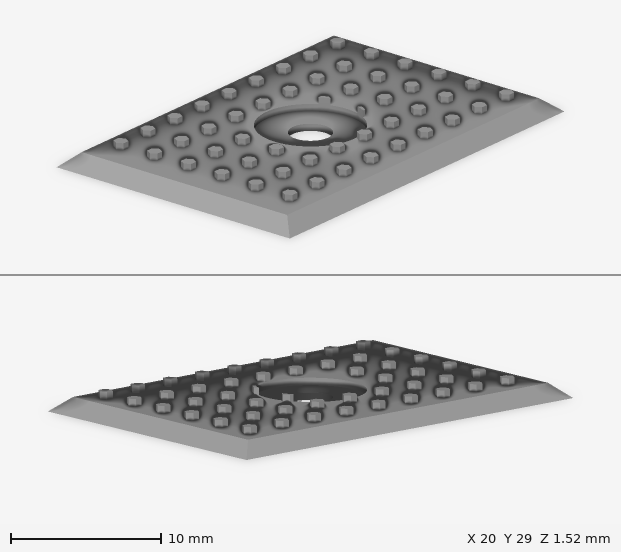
import cadquery as cq

width = 20.0
length = 29.0
plate_height = 1.02
bevel = 1.2

stud_height = 0.5
stud_corner_diameter = 1.02
stud_columns = 6
stud_rows = 9
column_span = 14.5
column_pitch = column_span / (stud_columns - 1)
row_span = 22.88
row_pitch = row_span / (stud_rows - 1)
grid_center_x = -0.05
grid_center_y = 0.4

hole_diameter = 3.02
counterbore_diameter = 7.55
counterbore_depth = plate_height / 2

total_height = plate_height + stud_height


def make_plate():
    """Rectangular plate whose four sides slope inward to the top face."""
    return (
        cq.Workplane("XY")
        .rect(width, length)
        .workplane(offset=plate_height)
        .rect(width - 2 * bevel, length - 2 * bevel)
        .loft(ruled=True)
    )


def make_studs():
    """Full grid of hexagonal studs, each running from the plate bottom to the stud top."""
    return (
        cq.Workplane("XY", origin=(grid_center_x, grid_center_y, 0))
        .transformed(rotate=(0, 0, 90))
        .rarray(row_pitch, column_pitch, stud_rows, stud_columns)
        .polygon(6, stud_corner_diameter)
        .extrude(total_height)
    )


def make_screw_opening():
    """Through hole plus counterbore, which also clears the studs above it."""
    hole = cq.Workplane("XY").circle(hole_diameter / 2).extrude(total_height)
    counterbore = (
        cq.Workplane("XY")
        .workplane(offset=plate_height - counterbore_depth)
        .circle(counterbore_diameter / 2)
        .extrude(counterbore_depth + stud_height)
    )
    return hole.union(counterbore)


result = make_plate().union(make_studs()).cut(make_screw_opening())